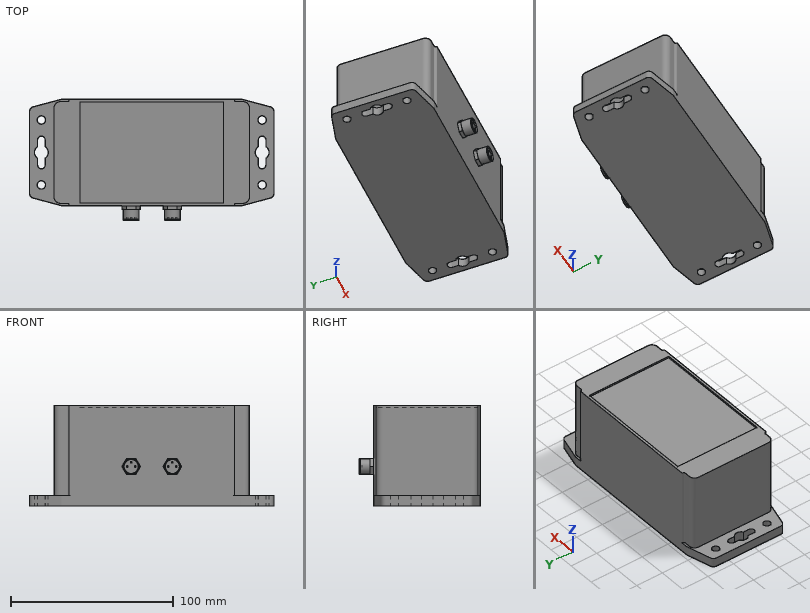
import cadquery as cq
import math

plate_length = 150.77
plate_height = 6.6
ear_slope_angle = math.radians(15)
ear_slope_start = 55.6
plate_corner_radius = 3.2

body_length = 120.4
body_width = 65.68
total_height = 62.0
body_corner_radius = 4.0

relief_length = 9.3
relief_depth = 1.5
relief_inner_radius = 1.0
relief_edge_radius = 0.4

label_length = 88.2
label_width = 62.0
label_depth = 1.2

mount_x = 68.0
mount_hole_pitch = 40.0
mount_hole_diameter = 5.0
keyhole_length = 20.0
keyhole_slot_width = 4.5
keyhole_head_diameter = 8.4

connector_pitch = 25.4
connector_z = 24.4
connector_reach = 9.0
nut_sides = 6
nut_across_flats = 9.9
nut_thickness = 2.2
barrel_diameter = 9.8
barrel_chamfer = 0.2
socket_diameter = 8.6
socket_depth = 0.9
contact_diameter = 1.0
contact_depth = 1.0
contact_radius = 2.5
contact_angles = (0, 90, 180)


def make_plate():
    half_length = plate_length / 2
    half_width = body_width / 2
    ear_half_width = half_width - (half_length - ear_slope_start) * math.tan(ear_slope_angle)
    outline = [
        (-half_length, -ear_half_width),
        (-ear_slope_start, -half_width),
        (ear_slope_start, -half_width),
        (half_length, -ear_half_width),
        (half_length, ear_half_width),
        (ear_slope_start, half_width),
        (-ear_slope_start, half_width),
        (-half_length, ear_half_width),
    ]
    plate = cq.Workplane("XY").polyline(outline).close().extrude(plate_height)
    return plate.edges("|Z").fillet(plate_corner_radius)


def make_ear_cutouts():
    def ear_centres():
        return cq.Workplane("XY").pushPoints([(-mount_x, 0), (mount_x, 0)])

    holes = (
        cq.Workplane("XY")
        .rect(2 * mount_x, mount_hole_pitch, forConstruction=True)
        .vertices()
        .circle(mount_hole_diameter / 2)
        .extrude(plate_height)
    )
    slots = ear_centres().slot2D(keyhole_length, keyhole_slot_width, angle=90).extrude(plate_height)
    heads = ear_centres().circle(keyhole_head_diameter / 2).extrude(plate_height)
    return holes.union(slots).union(heads)


def make_housing():
    """End-to-end core plus a wider middle block, standing on the plate."""
    wall_height = total_height - plate_height
    base = cq.Workplane("XY").workplane(offset=plate_height)
    core = base.rect(body_length, body_width - 2 * relief_depth).extrude(wall_height)
    middle = base.rect(body_length - 2 * relief_length, body_width).extrude(wall_height)
    housing = core.union(middle)

    middle_x = body_length / 2 - relief_length
    core_y = body_width / 2 - relief_depth
    rounded_corners = [
        (body_length / 2, core_y, body_corner_radius),
        (middle_x, core_y, relief_inner_radius),
        (middle_x, body_width / 2, relief_edge_radius),
    ]
    probe_size = 0.1
    for x, y, radius in rounded_corners:
        for x_sign in (-1, 1):
            for y_sign in (-1, 1):
                probe = cq.selectors.BoxSelector(
                    (x_sign * x - probe_size, y_sign * y - probe_size, 0),
                    (x_sign * x + probe_size, y_sign * y + probe_size, total_height),
                )
                housing = housing.edges(probe).edges("|Z").fillet(radius)
    return housing


def make_label_recess():
    floor = cq.Workplane("XY").workplane(offset=total_height - label_depth)
    return floor.rect(label_length, label_width).extrude(label_depth)


def make_connector(x):
    """Hex nut and open-ended barrel pointing towards -Y, with blind contact holes."""
    wall_y = -body_width / 2

    def section(distance):
        return cq.Workplane("XZ", origin=(x, wall_y - distance, connector_z))

    nut_across_corners = nut_across_flats / math.cos(math.pi / nut_sides)
    nut = section(0).polygon(nut_sides, nut_across_corners).extrude(nut_thickness)
    barrel = (
        section(0)
        .circle(barrel_diameter / 2)
        .extrude(connector_reach)
        .faces("<Y")
        .edges()
        .chamfer(barrel_chamfer)
    )
    socket_floor = connector_reach - socket_depth
    socket = section(socket_floor).circle(socket_diameter / 2).extrude(socket_depth)
    contact_points = [
        (
            contact_radius * math.cos(math.radians(angle)),
            contact_radius * math.sin(math.radians(angle)),
        )
        for angle in contact_angles
    ]
    contacts = (
        section(socket_floor - contact_depth)
        .pushPoints(contact_points)
        .circle(contact_diameter / 2)
        .extrude(contact_depth)
    )
    return nut.union(barrel).cut(socket).cut(contacts)


result = make_plate().cut(make_ear_cutouts()).union(make_housing()).cut(make_label_recess())
for connector_x in (-connector_pitch / 2, connector_pitch / 2):
    result = result.union(make_connector(connector_x))